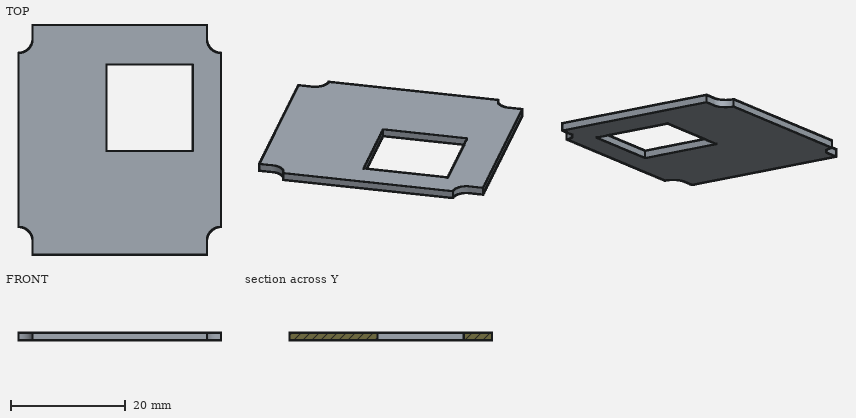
import cadquery as cq

width = 35.25
length = 40.0
thickness = 1.35
end_edge_length = 30.4

notch_width = (width - end_edge_length) / 2
notch_radius = 2.45
notch_center_inset = 2.4

window_size = 15.0
window_center_x = 5.2
window_center_y = 5.6


def corner_notch(side_x, side_y):
    """Cutter for the corner on the given sides (-1 or +1) of the plate."""
    slot = (
        cq.Workplane("XY")
        .center(side_x * (width - notch_width) / 2, side_y * (length - notch_center_inset) / 2)
        .rect(notch_width, notch_center_inset)
        .extrude(thickness)
    )
    bite = (
        cq.Workplane("XY")
        .center(side_x * width / 2, side_y * (length / 2 - notch_center_inset))
        .circle(notch_radius)
        .extrude(thickness)
    )
    return slot.union(bite)


plate = cq.Workplane("XY").box(width, length, thickness, centered=(True, True, False))
window = (
    cq.Workplane("XY")
    .center(window_center_x, window_center_y)
    .rect(window_size, window_size)
    .extrude(thickness)
)
result = plate.cut(window)
for side_x in (-1, 1):
    for side_y in (-1, 1):
        result = result.cut(corner_notch(side_x, side_y))